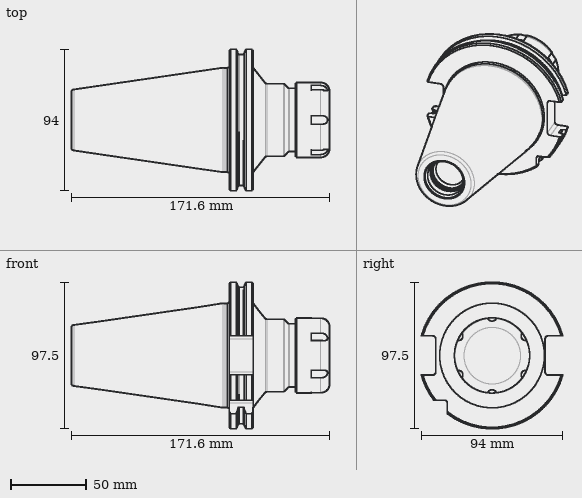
import cadquery as cq
import math


gauge_radius = 69.85 / 2
taper_slope = 7 / 24 / 2
shank_length = 101.6
shank_start = -shank_length
shank_end_radius = gauge_radius - taper_slope * shank_length
shank_end_rounding = 1.8
taper_stop = -0.9
relief_start = 0.2
relief_end = 1.8
relief_radius = gauge_radius - 0.3

flange_radius = 97.5 / 2
flange_start = 3.2
flange_width = 15.9
flange_end = flange_start + flange_width
flange_chamfer = 1.0
collar_radius = 35.3

groove_center = 11.1
groove_slot_width = 4.1
groove_slope_depth = 2.2
groove_half_angle = 30
groove_slope_width = groove_slope_depth * math.tan(math.radians(groove_half_angle))
groove_mouth_width = groove_slot_width + 2 * groove_slope_width
groove_side_radius = flange_radius - groove_slope_depth
groove_floor_radius = flange_radius - 3.25
groove_floor_rounding = 0.7

keyway_width = 25.9
keyway_floor_back = 35.3
keyway_floor_front = 37.4
notch_offset = 29.8
keyway_corner_radius = 2.0
notch_corner_radius = 1.6

cone_start_radius = 34.8
cone_end = 27.5
nose_radius = 24.2
cone_blend_radius = 1.3
neck_radius = 21.1
shoulder_start = 39.6
shoulder_end = shoulder_start + nose_radius - neck_radius
shoulder_rounding = 0.8

bore_mouth_radius = 14.2
bore_lead_radius = 13.6
bore_lead_depth = 0.4
bore_radius = 12.4
bore_start_depth = 2.0
bore_depth = 7.3
relief_bore_radius = 11.7
relief_bore_start_depth = bore_depth + bore_radius - relief_bore_radius
relief_bore_depth = 9.8
runout_radius = 11.3
runout_start_depth = 10.2
thread_radius = 10.1
thread_start_depth = 12.7
thread_depth = 60.0
drill_tip_angle = 118

nut_radius = 25.0
nut_start = 47.2
nut_end = 70.0
nut_chamfer = 1.0
nut_rounding = 6.2
wrench_slot_count = 6
wrench_slot_radius = 3.0
wrench_slot_axis_radius = 25.8
wrench_slot_start = 57.8


def turned(profile):
    """Revolve a closed half profile, drawn as (X, radius), about the X axis."""
    return profile.close().revolve(360, (0, 0, 0), (1, 0, 0))


def rim_at(x):
    """Selector for the full circular edges in the plane at the given X."""
    tolerance = 0.01
    reach = flange_radius + 1.0
    return cq.selectors.BoxSelector(
        (x - tolerance, -reach, -reach), (x + tolerance, reach, reach)
    )


def body_blank():
    profile = (
        cq.Workplane("XY")
        .moveTo(shank_start, 0)
        .lineTo(shank_start, shank_end_radius)
        .lineTo(taper_stop, gauge_radius + taper_slope * taper_stop)
        .lineTo(relief_start, relief_radius)
        .lineTo(relief_end, relief_radius)
        .lineTo(flange_start, collar_radius)
        .lineTo(flange_start, flange_radius - flange_chamfer)
        .lineTo(flange_start + flange_chamfer, flange_radius)
        .lineTo(flange_end - flange_chamfer, flange_radius)
        .lineTo(flange_end, flange_radius - flange_chamfer)
        .lineTo(flange_end, cone_start_radius)
        .lineTo(cone_end, nose_radius)
        .lineTo(shoulder_start, nose_radius)
        .lineTo(shoulder_end, neck_radius)
        .lineTo(nut_start, neck_radius)
        .lineTo(nut_start, 0)
    )
    blank = turned(profile)
    blank = blank.faces("<X").edges().fillet(shank_end_rounding)
    blank = blank.edges(rim_at(cone_end)).fillet(cone_blend_radius)
    for shoulder_rim in (shoulder_start, shoulder_end):
        blank = blank.edges(rim_at(shoulder_rim)).fillet(shoulder_rounding)
    return blank


def flange_groove():
    half_mouth = groove_mouth_width / 2
    half_slot = groove_slot_width / 2
    profile = (
        cq.Workplane("XY")
        .moveTo(groove_center - half_mouth, flange_radius)
        .lineTo(groove_center - half_slot, groove_side_radius)
        .lineTo(groove_center - half_slot, groove_floor_radius)
        .lineTo(groove_center + half_slot, groove_floor_radius)
        .lineTo(groove_center + half_slot, groove_side_radius)
        .lineTo(groove_center + half_mouth, flange_radius)
    )
    floor_edges = cq.selectors.RadiusNthSelector(0)
    return turned(profile).edges(floor_edges).fillet(groove_floor_rounding)


def flange_pocket(y_inner, y_outer, z_low, z_high, rounded_edges, corner_radius):
    """Box cut through the flange width, with its inner corners rounded."""
    box = cq.Workplane("XY").box(
        flange_width, abs(y_outer - y_inner), z_high - z_low
    )
    box = box.edges(rounded_edges).fillet(corner_radius)
    return box.translate(
        (flange_start + flange_width / 2, (y_inner + y_outer) / 2, (z_low + z_high) / 2)
    )


def draw_bolt_bore():
    tip_length = thread_radius / math.tan(math.radians(drill_tip_angle / 2))
    profile = (
        cq.Workplane("XY")
        .moveTo(shank_start, 0)
        .lineTo(shank_start, bore_mouth_radius)
        .lineTo(shank_start + bore_lead_depth, bore_lead_radius)
        .lineTo(shank_start + bore_start_depth, bore_radius)
        .lineTo(shank_start + bore_depth, bore_radius)
        .lineTo(shank_start + relief_bore_start_depth, relief_bore_radius)
        .lineTo(shank_start + relief_bore_depth, relief_bore_radius)
        .lineTo(shank_start + runout_start_depth, runout_radius)
        .lineTo(shank_start + thread_start_depth, thread_radius)
        .lineTo(shank_start + thread_depth, thread_radius)
        .lineTo(shank_start + thread_depth + tip_length, 0)
    )
    return turned(profile)


def make_holder():
    half_key = keyway_width / 2
    outside = flange_radius + 1.0
    back_keyway = flange_pocket(
        keyway_floor_back, outside, -half_key, half_key, "|X and <Y", keyway_corner_radius
    )
    front_keyway = flange_pocket(
        -keyway_floor_front, -outside, -half_key, half_key, "|X and >Y", keyway_corner_radius
    )
    notch = flange_pocket(
        -notch_offset, -outside, -outside, -notch_offset, "|X and >Y and >Z", notch_corner_radius
    )
    return (
        body_blank()
        .cut(flange_groove())
        .cut(back_keyway)
        .cut(front_keyway)
        .cut(notch)
        .cut(draw_bolt_bore())
    )


def make_nut():
    rounding_x = nut_end - nut_rounding
    rounding_center_radius = nut_radius - nut_rounding
    diagonal = nut_rounding * math.sqrt(0.5)
    profile = (
        cq.Workplane("XY")
        .moveTo(nut_start, 0)
        .lineTo(nut_start, nut_radius - nut_chamfer)
        .lineTo(nut_start + nut_chamfer, nut_radius)
        .lineTo(rounding_x, nut_radius)
        .threePointArc(
            (rounding_x + diagonal, rounding_center_radius + diagonal),
            (nut_end, rounding_center_radius),
        )
        .lineTo(nut_end, 0)
    )
    nut = turned(profile)
    slot = (
        cq.Workplane("YZ", origin=(wrench_slot_start, 0, 0))
        .center(0, wrench_slot_axis_radius)
        .circle(wrench_slot_radius)
        .extrude(nut_end - wrench_slot_start)
    )
    for index in range(wrench_slot_count):
        angle = index * 360 / wrench_slot_count
        nut = nut.cut(slot.rotate((0, 0, 0), (1, 0, 0), angle))
    return nut


holder = make_holder()
nut = make_nut()

result = cq.Compound.makeCompound([holder.val(), nut.val()])